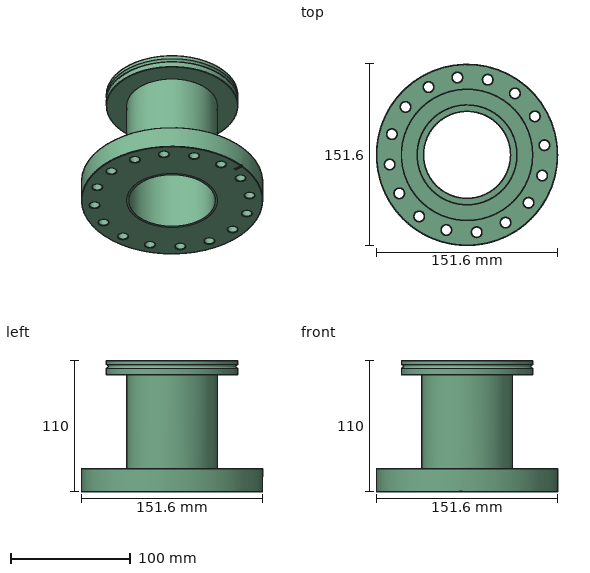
import cadquery as cq

total_height = 110.0

tube_outer_diameter = 76.0
tube_bore_diameter = 72.3
tube_radius = tube_outer_diameter / 2

bolted_diameter = 151.6
bolted_thickness = 20.0
bolted_chamfer = 0.5
bolt_count = 16
bolt_circle_diameter = 130.2
bolt_hole_diameter = 8.3
bolt_hole_chamfer = 0.5
first_bolt_angle = 7.1
relief_width = 1.0
relief_depth = 2.0
notch_width = 1.8
notch_height = 1.0
notch_length = 7.6
notch_pitches = 11.5
notch_angle = first_bolt_angle + notch_pitches * 360 / bolt_count

clamp_diameter = 110.0
clamp_thickness = 12.0
clamp_chamfer = 0.38
clamp_bore_diameter = 73.0
recess_diameter = 83.1
recess_depth = 4.2
lip_thickness = 2.0
groove_radius = 1.5
groove_offset = 3.5

clamp_bottom = total_height - clamp_thickness
tube_top = total_height - recess_depth - lip_thickness


def make_tube():
    """Plain pipe from the bottom face up to the lip of the clamp flange."""
    return (
        cq.Workplane("XY")
        .circle(tube_radius)
        .circle(tube_bore_diameter / 2)
        .extrude(tube_top)
    )


def make_bolted_flange():
    """Chamfered disc with a ring of bolt holes and a seat for the tube."""
    disc = cq.Workplane("XY").circle(bolted_diameter / 2).extrude(bolted_thickness)
    disc = disc.edges().chamfer(bolted_chamfer)
    tube_seat = cq.Workplane("XY").circle(tube_radius).extrude(bolted_thickness)
    relief = (
        cq.Workplane("XY", origin=(0, 0, bolted_thickness - relief_depth))
        .circle(tube_radius + relief_width)
        .extrude(relief_depth)
    )
    return disc.cut(bolt_hole_cutters()).cut(tube_seat).cut(relief).cut(notch_cutter())


def bolt_hole_cutters():
    """Bolt hole shapes, widened by a chamfer at both faces of the flange."""
    hole_radius = bolt_hole_diameter / 2
    mouth_radius = hole_radius + bolt_hole_chamfer
    cutter = (
        cq.Workplane("XZ")
        .moveTo(0, 0)
        .lineTo(mouth_radius, 0)
        .lineTo(hole_radius, bolt_hole_chamfer)
        .lineTo(hole_radius, bolted_thickness - bolt_hole_chamfer)
        .lineTo(mouth_radius, bolted_thickness)
        .lineTo(0, bolted_thickness)
        .close()
        .revolve(360, (0, 0), (0, 1))
        .val()
    )
    return (
        cq.Workplane("XY")
        .polarArray(bolt_circle_diameter / 2, first_bolt_angle, 360, bolt_count)
        .eachpoint(lambda place: cutter.moved(place), combine=False)
        .combine()
    )


def notch_cutter():
    """Small radial notch in the bottom face, open at the rim of the bolted flange."""
    return (
        cq.Workplane("XY")
        .box(notch_length, notch_width, notch_height, centered=(False, True, False))
        .translate((bolted_diameter / 2 - notch_length, 0, 0))
        .rotate((0, 0, 0), (0, 0, 1), notch_angle)
    )


def make_clamp_flange():
    """Turned ring with a half-round rim groove, a recessed face and a socket for the tube."""
    rim = clamp_diameter / 2
    groove_top = total_height - groove_offset
    groove_middle = groove_top - groove_radius
    groove_bottom = groove_middle - groove_radius
    recess_floor = total_height - recess_depth
    return (
        cq.Workplane("XZ")
        .moveTo(tube_radius, clamp_bottom)
        .lineTo(rim - clamp_chamfer, clamp_bottom)
        .lineTo(rim, clamp_bottom + clamp_chamfer)
        .lineTo(rim, groove_bottom)
        .threePointArc((rim - groove_radius, groove_middle), (rim, groove_top))
        .lineTo(rim, total_height - clamp_chamfer)
        .lineTo(rim - clamp_chamfer, total_height)
        .lineTo(recess_diameter / 2 + clamp_chamfer, total_height)
        .lineTo(recess_diameter / 2, total_height - clamp_chamfer)
        .lineTo(recess_diameter / 2, recess_floor)
        .lineTo(clamp_bore_diameter / 2, recess_floor)
        .lineTo(clamp_bore_diameter / 2, tube_top)
        .lineTo(tube_radius, tube_top)
        .close()
        .revolve(360, (0, 0), (0, 1))
    )


tube = make_tube()
bolted_flange = make_bolted_flange()
clamp_flange = make_clamp_flange()

result = cq.Compound.makeCompound([tube.val(), bolted_flange.val(), clamp_flange.val()])